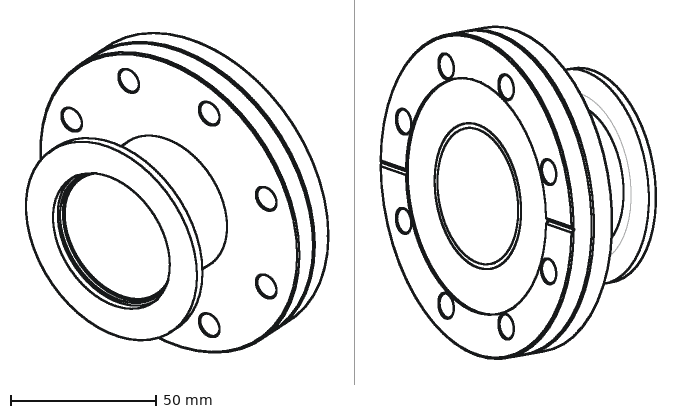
import cadquery as cq
import math

total_length = 49.5

tube_outer_d = 50.8
tube_inner_d = 47.5
socket_d = 51.0

bolted_flange_d = 113.5
bolted_flange_thickness = 17.4
rim_chamfer = 0.6
rim_groove_depth = 0.2
rim_groove_width = 1.0
gasket_recess_d = 82.5
leak_groove_depth = 0.8
leak_groove_width = 2.0
gasket_recess_depth = leak_groove_depth

bolt_count = 8
bolt_hole_d = 8.4
bolt_circle_d = 92.3
bolt_hole_chamfer = 0.3

clamp_flange_d = 75.0
clamp_rim_width = 3.1
clamp_flange_thickness = 5.1
clamp_cone_angle = 15.0
seal_recess_d = 51.2
seal_recess_depth = 2.6
clamp_bore_d = 49.1
tube_end_depth = 4.2

clamp_face_y = -total_length
tube_front_y = clamp_face_y + tube_end_depth
tube_back_y = -gasket_recess_depth


def revolve_about_y(profile):
    """Turn a closed (radius, y) outline once around the Y axis."""
    return cq.Workplane("XY").polyline(profile).close().revolve(360, (0, 0, 0), (0, 1, 0))


def make_bolt_hole_cutter():
    """Straight hole with a chamfered mouth at both flange faces, on the Y axis."""
    hole_r = bolt_hole_d / 2
    mouth_r = hole_r + bolt_hole_chamfer
    front_y = -bolted_flange_thickness
    return revolve_about_y([
        (0, 0),
        (mouth_r, 0),
        (hole_r, -bolt_hole_chamfer),
        (hole_r, front_y + bolt_hole_chamfer),
        (mouth_r, front_y),
        (0, front_y),
    ])


def make_rim_groove_cutter():
    """Shallow ring of arc section around the middle of the bolted flange rim."""
    outer_r = bolted_flange_d / 2
    middle_y = -bolted_flange_thickness / 2
    front_y = middle_y - rim_groove_width / 2
    back_y = middle_y + rim_groove_width / 2
    section = cq.Workplane("XY").moveTo(outer_r, front_y)
    section = section.threePointArc((outer_r - rim_groove_depth, middle_y), (outer_r, back_y)).close()
    return section.revolve(360, (0, 0, 0), (0, 1, 0))


def make_bolted_flange():
    outer_r = bolted_flange_d / 2
    face_r = outer_r - rim_chamfer
    front_y = -bolted_flange_thickness
    flange = revolve_about_y([
        (socket_d / 2, front_y),
        (face_r, front_y),
        (outer_r, front_y + rim_chamfer),
        (outer_r, -rim_chamfer),
        (face_r, 0),
        (gasket_recess_d / 2, 0),
        (gasket_recess_d / 2, -gasket_recess_depth),
        (socket_d / 2, -gasket_recess_depth),
    ])

    flange = flange.cut(make_rim_groove_cutter())

    half_width = leak_groove_width / 2
    groove_section = [(0, -half_width), (0, half_width), (-leak_groove_depth, 0)]
    leak_groove = cq.Workplane("YZ").polyline(groove_section).close().extrude(outer_r, both=True)
    flange = flange.cut(leak_groove)

    hole = make_bolt_hole_cutter()
    pitch_angle = 360 / bolt_count
    for i in range(bolt_count):
        turn = (i + 0.5) * pitch_angle
        placed_hole = hole.translate((bolt_circle_d / 2, 0, 0)).rotate((0, 0, 0), (0, 1, 0), turn)
        flange = flange.cut(placed_hole)
    return flange


def make_tube():
    return revolve_about_y([
        (tube_inner_d / 2, tube_front_y),
        (tube_outer_d / 2, tube_front_y),
        (tube_outer_d / 2, tube_back_y),
        (tube_inner_d / 2, tube_back_y),
    ])


def make_clamp_flange():
    outer_r = clamp_flange_d / 2
    cone_height = clamp_flange_thickness - clamp_rim_width
    back_r = outer_r - cone_height / math.tan(math.radians(clamp_cone_angle))
    rim_back_y = clamp_face_y + clamp_rim_width
    back_y = clamp_face_y + clamp_flange_thickness
    seal_floor_y = clamp_face_y + seal_recess_depth
    return revolve_about_y([
        (seal_recess_d / 2, clamp_face_y),
        (outer_r, clamp_face_y),
        (outer_r, rim_back_y),
        (back_r, back_y),
        (socket_d / 2, back_y),
        (socket_d / 2, tube_front_y),
        (clamp_bore_d / 2, tube_front_y),
        (clamp_bore_d / 2, seal_floor_y),
        (seal_recess_d / 2, seal_floor_y),
    ])


bolted_flange = make_bolted_flange()
tube = make_tube()
clamp_flange = make_clamp_flange()

result = cq.Compound.makeCompound([bolted_flange.val(), tube.val(), clamp_flange.val()])